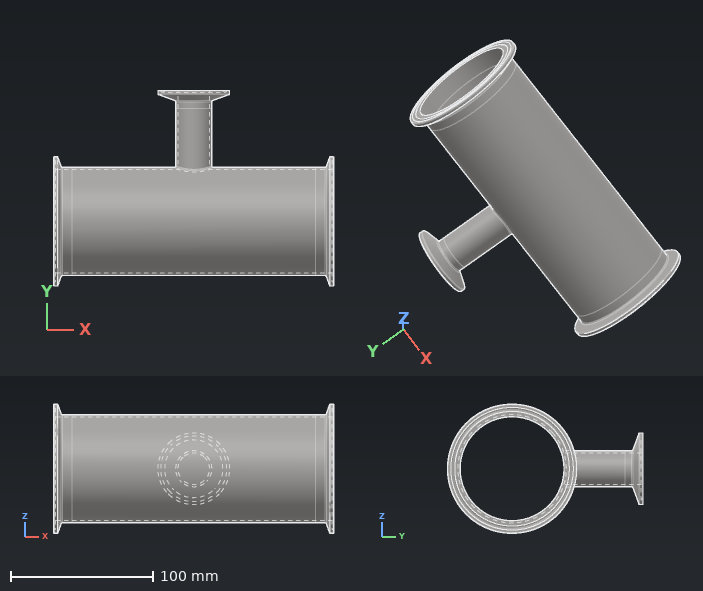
import cadquery as cq
import math

RUN_LENGTH = 196.85
RUN_OUTER_DIAMETER = 76.2
RUN_BORE_DIAMETER = 72.9
RUN_FLANGE_DIAMETER = 90.91
RUN_GROOVE_DIAMETER = 83.4

BRANCH_REACH = 92.07
BRANCH_OUTER_DIAMETER = 25.4
BRANCH_BORE_DIAMETER = 22.1
BRANCH_FLANGE_DIAMETER = 50.39
BRANCH_GROOVE_DIAMETER = 43.6
BRANCH_WELD_RADIUS = 1.0

FERRULE_LENGTH = 12.7
RIM_THICKNESS = 2.87
RIM_EDGE_RADIUS = 0.4
BACK_TAPER_ANGLE = 20.0
NECK_FILLET_RADIUS = 1.0
GROOVE_WIDTH = 2.8
GROOVE_DEPTH = 1.3

RUN_START = cq.Plane(origin=(-RUN_LENGTH / 2, 0, 0), xDir=(0, 1, 0), normal=(1, 0, 0))
RUN_FINISH = cq.Plane(origin=(RUN_LENGTH / 2, 0, 0), xDir=(0, 1, 0), normal=(-1, 0, 0))
BRANCH_END = cq.Plane(origin=(0, BRANCH_REACH, 0), xDir=(1, 0, 0), normal=(0, -1, 0))


def cylinder(plane, diameter, start, end):
    """Cylinder between two depths along the plane normal."""
    return cq.Workplane(plane).workplane(offset=start).circle(diameter / 2).extrude(end - start)


def section_plane(plane):
    """Half-section plane: local X is the radius, local Y is the depth from the flange face."""
    return cq.Plane(origin=plane.origin, xDir=plane.xDir, normal=plane.xDir.cross(plane.zDir))


def revolve_section(outline):
    return outline.close().revolve(360, (0, 0, 0), (0, 1, 0))


def gasket_groove(plane, groove_diameter):
    """Ring with a circular-arc section, to be cut from a flange face."""
    middle = groove_diameter / 2
    return revolve_section(
        cq.Workplane(section_plane(plane))
        .moveTo(middle - GROOVE_WIDTH / 2, 0)
        .threePointArc((middle, GROOVE_DEPTH), (middle + GROOVE_WIDTH / 2, 0))
    )


def ferrule(plane, tube_diameter, bore_diameter, flange_diameter, groove_diameter):
    """Short tube with a clamp flange: rounded rim, tapered back and a grooved face."""
    tube_radius = tube_diameter / 2
    bore_radius = bore_diameter / 2
    rim_radius = flange_diameter / 2
    taper = math.radians(BACK_TAPER_ANGLE)
    neck_depth = RIM_THICKNESS + (rim_radius - tube_radius) * math.tan(taper)

    half_sweep = (math.pi / 2 - taper) / 2
    tangent_length = NECK_FILLET_RADIUS * math.tan(half_sweep)
    taper_end = (
        tube_radius + tangent_length * math.cos(taper),
        neck_depth - tangent_length * math.sin(taper),
    )
    arc_end = (tube_radius, neck_depth + tangent_length)
    arc_middle = (
        tube_radius + NECK_FILLET_RADIUS * (1 - math.cos(half_sweep)),
        arc_end[1] - NECK_FILLET_RADIUS * math.sin(half_sweep),
    )

    body = revolve_section(
        cq.Workplane(section_plane(plane))
        .moveTo(bore_radius, 0)
        .lineTo(rim_radius, 0)
        .lineTo(rim_radius, RIM_THICKNESS)
        .lineTo(*taper_end)
        .threePointArc(arc_middle, arc_end)
        .lineTo(tube_radius, FERRULE_LENGTH)
        .lineTo(bore_radius, FERRULE_LENGTH)
    )
    rim_edges = cq.selectors.RadiusNthSelector(-1)
    body = body.edges(rim_edges).fillet(RIM_EDGE_RADIUS)
    return body.cut(gasket_groove(plane, groove_diameter))


def tee_tubes():
    """Run and branch tubes between the ferrules, with the weld blend where they meet."""
    run_end = RUN_LENGTH - FERRULE_LENGTH
    run = cylinder(RUN_START, RUN_OUTER_DIAMETER, FERRULE_LENGTH, run_end)
    branch = cylinder(BRANCH_END, BRANCH_OUTER_DIAMETER, FERRULE_LENGTH, BRANCH_REACH)
    joint = cq.selectors.BoxSelector(
        (-BRANCH_OUTER_DIAMETER, 0, -BRANCH_OUTER_DIAMETER),
        (BRANCH_OUTER_DIAMETER, RUN_OUTER_DIAMETER / 2 + BRANCH_WELD_RADIUS, BRANCH_OUTER_DIAMETER),
        boundingbox=True,
    )
    tubes = run.union(branch).edges(joint).fillet(BRANCH_WELD_RADIUS)
    tubes = tubes.cut(cylinder(RUN_START, RUN_BORE_DIAMETER, FERRULE_LENGTH, run_end))
    return tubes.cut(cylinder(BRANCH_END, BRANCH_BORE_DIAMETER, FERRULE_LENGTH, BRANCH_REACH))


run_sizes = (RUN_OUTER_DIAMETER, RUN_BORE_DIAMETER, RUN_FLANGE_DIAMETER, RUN_GROOVE_DIAMETER)
branch_sizes = (
    BRANCH_OUTER_DIAMETER,
    BRANCH_BORE_DIAMETER,
    BRANCH_FLANGE_DIAMETER,
    BRANCH_GROOVE_DIAMETER,
)

result = tee_tubes()
for end_plane, sizes in (
    (RUN_START, run_sizes),
    (RUN_FINISH, run_sizes),
    (BRANCH_END, branch_sizes),
):
    result = result.union(ferrule(end_plane, *sizes), clean=False)
result = result.solids()